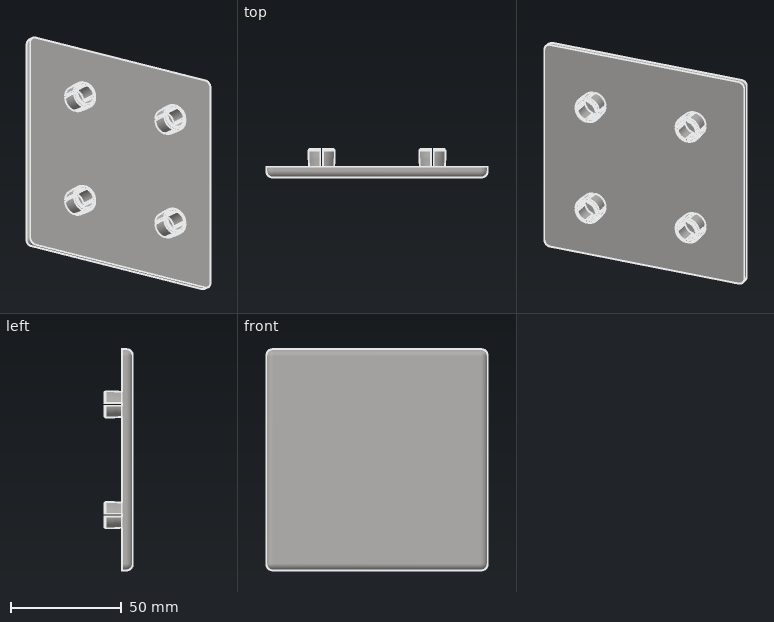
import cadquery as cq

plate_side = 100.0
plate_thickness = 5.0
edge_radius = 3.0

peg_spacing = 50.0
peg_length = 8.0
peg_head_diameter = 12.0
peg_root_diameter = 11.5
peg_head_length = 4.0
peg_tip_diameter = 10.8
peg_tip_length = 0.8
peg_bore_diameter = 9.0
peg_slot_width = 1.2


def make_plate():
    """Plate with its back face on Y = 0, rounded at the corners and around the front face."""
    plate = cq.Workplane("XZ").rect(plate_side, plate_side).extrude(plate_thickness)
    plate = plate.edges("|Y").fillet(edge_radius)
    return plate.faces("<Y").edges().fillet(edge_radius)


def make_peg():
    """Peg along +Y: tapered root, straight head and bevelled tip, bored and cross-slotted."""
    root_radius = peg_root_diameter / 2
    head_radius = peg_head_diameter / 2
    bore_radius = peg_bore_diameter / 2
    peg = (
        cq.Workplane("XY")
        .moveTo(bore_radius, 0)
        .lineTo(root_radius, 0)
        .lineTo(head_radius, peg_length - peg_head_length)
        .lineTo(head_radius, peg_length - peg_tip_length)
        .lineTo(peg_tip_diameter / 2, peg_length)
        .lineTo(bore_radius, peg_length)
        .close()
        .revolve(360, (0, 0, 0), (0, 1, 0))
    )
    slot_along_x = cq.Workplane("XY").box(peg_head_diameter, peg_length, peg_slot_width)
    slot_along_z = slot_along_x.rotate((0, 0, 0), (0, 1, 0), 90)
    cross_slot = slot_along_x.union(slot_along_z).translate((0, peg_length / 2, 0))
    return peg.cut(cross_slot)


result = make_plate()
peg = make_peg()
for x_side in (-1, 1):
    for z_side in (-1, 1):
        peg_position = (x_side * peg_spacing / 2, 0, z_side * peg_spacing / 2)
        result = result.union(peg.translate(peg_position))